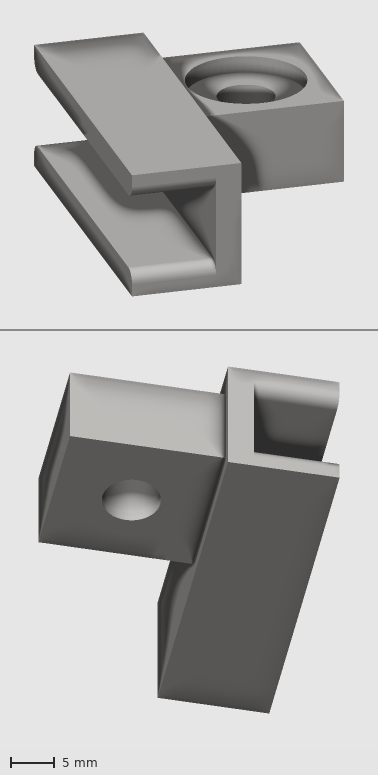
import cadquery as cq

rail_length = 40.0
rail_depth = 13.0
rail_height = 15.0
wall = 3.0
lip_radius = wall / 2

block_size = 18.0
block_height = 10.0
block_offset = 2.0

hole_diameter = 6.75
counterbore_diameter = 14.0
counterbore_depth = 2.0


def make_rail():
    """Channel with the inner edges of both flanges rounded at their ends."""
    centred_in_z = (False, False, True)
    body = cq.Workplane("XY").box(rail_length, rail_depth, rail_height, centered=centred_in_z)
    slot = cq.Workplane("XY").box(
        rail_length, rail_depth - wall, rail_height - 2 * wall, centered=centred_in_z
    )
    channel = body.cut(slot)
    inner_half_height = rail_height / 2 - wall
    slot_mid_depth = (rail_depth - wall) / 2
    for x in (0, rail_length):
        for z in (-inner_half_height, inner_half_height):
            lip_edge = cq.selectors.NearestToPointSelector((x, slot_mid_depth, z))
            channel = channel.edges(lip_edge).fillet(lip_radius)
    return channel


def make_block():
    """Square block with a counterbored hole through it from the top."""
    return (
        cq.Workplane("XY")
        .box(block_size, block_size, block_height)
        .faces(">Z")
        .workplane()
        .cboreHole(hole_diameter, counterbore_diameter, counterbore_depth)
        .translate((block_offset + block_size / 2, rail_depth + block_size / 2, 0))
    )


result = make_rail().union(make_block())